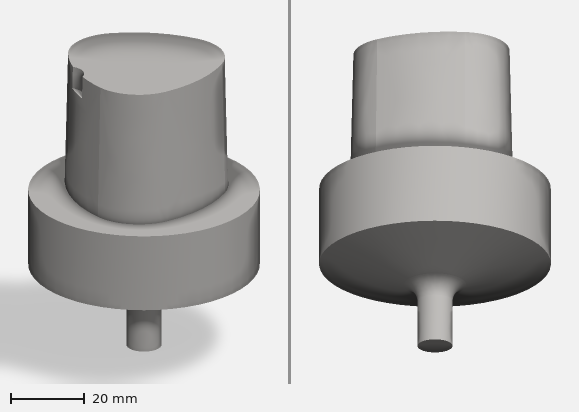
import cadquery as cq
import math

total_height = 83.95
flange_top = 45.9
flange_bottom = 24.0

flange_radius = 63.0 / 2
pin_radius = 9.6 / 2
cone_angle = math.radians(15)
fillet_radius = 4.95

lobe_reach = 23.5
side_reach = 20.4
lobe_offset = 8.8
taper_inset = 0.9

notch_radius = 5.0
notch_back = 17.8
notch_depth = 6.4


def polar(radius, degrees):
    angle = math.radians(degrees)
    return (radius * math.cos(angle), radius * math.sin(angle))


def make_base():
    """Flange, cone and pin as one revolved profile with a tangent fillet."""
    fillet_center_r = pin_radius + fillet_radius
    fillet_end_r = fillet_center_r - fillet_radius * math.sin(cone_angle)
    fillet_end_z = flange_bottom - (flange_radius - fillet_end_r) * math.tan(cone_angle)
    fillet_start_z = fillet_end_z - fillet_radius * math.cos(cone_angle)
    middle_angle = (math.pi / 2 - cone_angle) / 2
    fillet_middle = (
        fillet_center_r - fillet_radius * math.cos(middle_angle),
        fillet_start_z + fillet_radius * math.sin(middle_angle),
    )
    return (
        cq.Workplane("XZ")
        .lineTo(pin_radius, 0)
        .lineTo(pin_radius, fillet_start_z)
        .threePointArc(fillet_middle, (fillet_end_r, fillet_end_z))
        .lineTo(flange_radius, flange_bottom)
        .lineTo(flange_radius, flange_top)
        .lineTo(0, flange_top)
        .close()
        .revolve(360, (0, 0), (0, 1))
    )


def draw_outline(plane, inset):
    """Closed outline of three lobe arcs joined by three tangent side arcs."""
    lobe_tip = lobe_reach - inset
    side_middle = side_reach - inset
    lobe_radius = lobe_tip - lobe_offset

    half_gap = lobe_offset * math.sin(math.radians(60))
    lobe_along = lobe_offset * math.cos(math.radians(60))
    slack = side_middle - lobe_radius
    side_center = (half_gap**2 + lobe_along**2 - slack**2) / (2 * (slack - lobe_along))
    side_radius = side_center + side_middle

    normal_tilt = math.atan2(half_gap, side_center + lobe_along)
    tangent_along = side_radius * math.cos(normal_tilt) - side_center
    tangent_across = side_radius * math.sin(normal_tilt)
    tangent_reach = math.hypot(tangent_along, tangent_across)
    tangent_turn = math.degrees(math.atan2(tangent_across, tangent_along))

    outline = plane.moveTo(*polar(tangent_reach, -90 - tangent_turn))
    for side_angle in (-90, 30, 150):
        outline = outline.threePointArc(
            polar(side_middle, side_angle),
            polar(tangent_reach, side_angle + tangent_turn),
        )
        outline = outline.threePointArc(
            polar(lobe_tip, side_angle + 60),
            polar(tangent_reach, side_angle + 120 - tangent_turn),
        )
    return outline.close()


def make_knob():
    """Tapered knob lofted from the flange up to its smaller top outline."""
    lower = draw_outline(cq.Workplane("XY").workplane(offset=flange_top), 0)
    upper_plane = lower.workplane(offset=total_height - flange_top)
    return draw_outline(upper_plane, taper_inset).loft(ruled=True)


def make_notch():
    """Upright cylinder that scoops the front edge of the knob."""
    return (
        cq.Workplane("XY")
        .workplane(offset=total_height - notch_depth)
        .center(0, -(notch_back + notch_radius))
        .circle(notch_radius)
        .extrude(notch_depth)
    )


result = make_base().union(make_knob()).cut(make_notch())